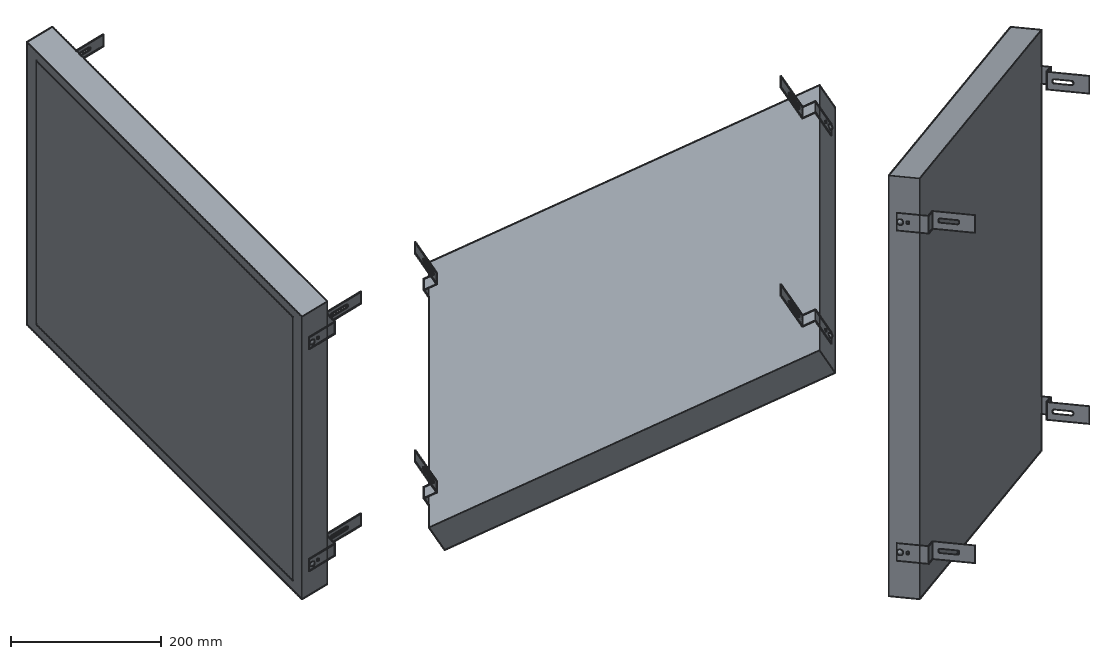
import cadquery as cq

side = 595.0
housing_depth = 42.7
front_border = 20.0

panel_side = side - 2 * front_border
panel_thickness = 3.0

total_depth = 113.75
sheet = 1.0
bracket_height = 25.0
bracket_front = 11.25
web_back = 55.5
web_offset = 19.5
bracket_z = 233.5

slot_length = 29.0
slot_width = 6.0
slot_center_y = 77.5
pilot_diameter = 4.0
pilot_y = 26.5

head_diameter = 8.5
total_width = 603.41
head_height = (total_width - side) / 2 - sheet
screw_y = 16.0

bracket_face = side / 2 + sheet


def box_between(x_range, y_range, z_range):
    """Box spanning the given X, Y and Z (low, high) ranges."""
    sizes = [high - low for low, high in (x_range, y_range, z_range)]
    corner = (x_range[0], y_range[0], z_range[0])
    return cq.Workplane("XY").box(*sizes, centered=False).translate(corner)


def side_plane(x):
    """Workplane at the given X, looking out along +X, with local axes Y and Z."""
    return cq.Workplane("YZ", origin=(x, 0, 0))


def make_bracket():
    """Right-hand bracket, centred on Z = 0."""
    inner_face = side / 2
    leg_face = bracket_face - web_offset
    profile = [
        (inner_face, bracket_front),
        (bracket_face, bracket_front),
        (bracket_face, web_back),
        (leg_face, web_back),
        (leg_face, total_depth),
        (leg_face - sheet, total_depth),
        (leg_face - sheet, web_back - sheet),
        (inner_face, web_back - sheet),
    ]
    bracket = cq.Workplane("XY").polyline(profile).close().extrude(bracket_height / 2, both=True)
    slot = side_plane(leg_face - sheet).center(slot_center_y, 0).slot2D(slot_length, slot_width).extrude(sheet)
    pilot = side_plane(inner_face).center(pilot_y, 0).circle(pilot_diameter / 2).extrude(sheet)
    return bracket.cut(slot).cut(pilot)


def make_screw_head():
    """Spherical-cap screw head on the outer face of the right-hand bracket."""
    head_radius = head_diameter / 2
    dome_radius = (head_radius**2 + head_height**2) / (2 * head_height)
    profile = (
        cq.Workplane("XY", origin=(bracket_face, screw_y, 0))
        .lineTo(head_height, 0)
        .radiusArc((0, head_radius), -dome_radius)
        .close()
    )
    return profile.revolve(360, (0, 0, 0), (1, 0, 0))


def make_panel():
    """Square plate flush with the front face of the housing."""
    half = panel_side / 2
    return box_between((-half, half), (0, panel_thickness), (-half, half))


def make_housing():
    """Box with the panel recess, four brackets and their screw heads."""
    half = side / 2
    body = box_between((-half, half), (0, housing_depth), (-half, half)).cut(make_panel())
    mount = make_bracket().union(make_screw_head())
    for z in (-bracket_z, bracket_z):
        right_mount = mount.translate((0, 0, z))
        body = body.union(right_mount).union(right_mount.mirror("YZ"))
    return body


housing = make_housing()
panel = make_panel()
result = cq.Compound.makeCompound([housing.val(), panel.val()])